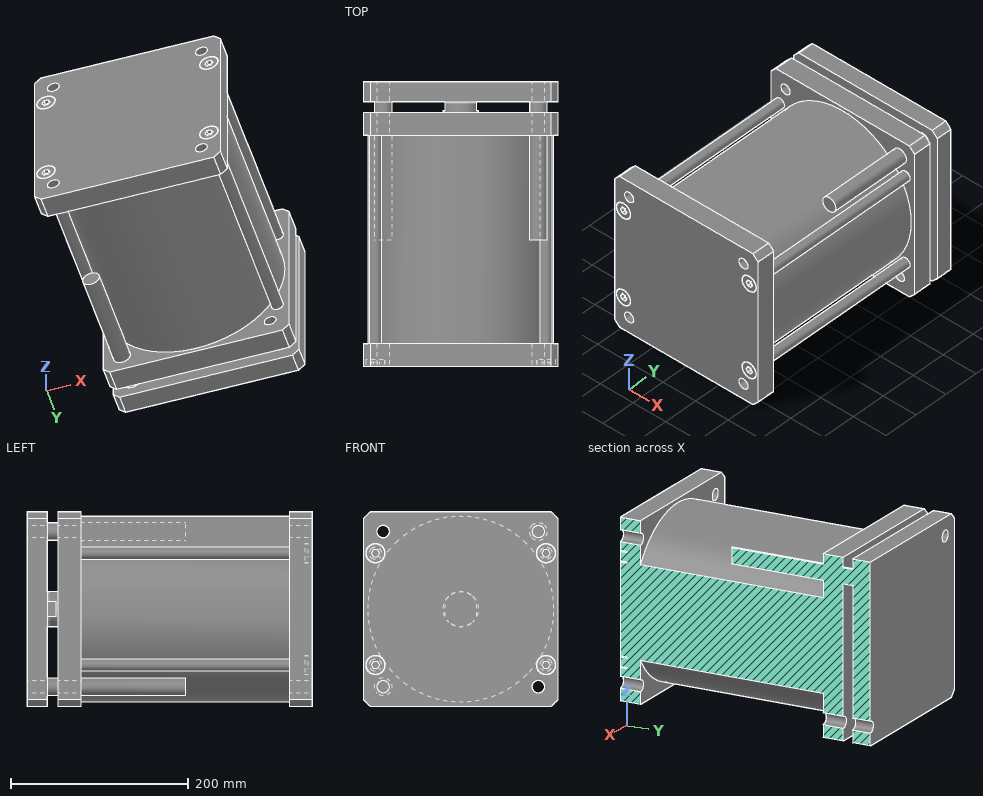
import cadquery as cq
import math

plate_side = 220.0
corner_circle_diameter = 300.0
cap_thickness = 26.0
barrel_length = 235.0
gap_length = 12.0
overall_length = 322.0

barrel_end = cap_thickness + barrel_length
rear_cap_end = barrel_end + cap_thickness
flange_start = rear_cap_end + gap_length
flange_thickness = overall_length - flange_start

barrel_diameter = 210.0

tie_rod_diameter = 14.0
tie_rod_x = 96.3
tie_rod_z = 63.0
screw_recess_diameter = 22.0
screw_head_diameter = 21.0
screw_recess_depth = 8.0
hex_across_flats = 8.0
hex_depth = 5.0

corner_offset = 87.5
corner_hole_diameter = 14.0
guide_rod_diameter = 20.0
guide_rod_overhang = 118.0

piston_rod_diameter = 40.0
piston_rod_chamfer_length = 1.5
piston_rod_chamfer_height = 0.3
flats_width = 36.0
flats_clearance = 2.0

tie_rod_points = [(x, z) for x in (-tie_rod_x, tie_rod_x) for z in (-tie_rod_z, tie_rod_z)]
corner_points = [(x, z) for x in (-corner_offset, corner_offset) for z in (-corner_offset, corner_offset)]
guide_rod_points = [(-corner_offset, -corner_offset), (corner_offset, corner_offset)]
open_corner_points = [point for point in corner_points if point not in guide_rod_points]


def plane_at(y):
    """XZ work plane at the given Y; negative extrusions run toward +Y, sketch axes are X and Z."""
    return cq.Workplane(cq.Plane(origin=(0, y, 0), xDir=(1, 0, 0), normal=(0, -1, 0)))


def bars(points, diameter, start, end):
    """Round bars along Y, one at each (x, z) point."""
    return plane_at(start).pushPoints(points).circle(diameter / 2).extrude(start - end)


def plate(start, thickness, hole_points):
    """Square plate with through holes and its corners trimmed by a large circle."""
    blank = plane_at(start).rect(plate_side, plate_side).extrude(-thickness)
    blank = blank.intersect(bars([(0, 0)], corner_circle_diameter, start, start + thickness))
    return blank.cut(bars(hole_points, corner_hole_diameter, start, start + thickness))


def piston_rod():
    """Rod end in the gap: chamfered at the flange, flats stopping just short of the rear cap."""
    rod = bars([(0, 0)], piston_rod_diameter, rear_cap_end, flange_start)
    rod = rod.faces(">Y").chamfer(piston_rod_chamfer_length, piston_rod_chamfer_height)
    flats_start = rear_cap_end + flats_clearance
    outside_flats = (
        plane_at(flats_start)
        .rect(2 * piston_rod_diameter, 2 * piston_rod_diameter)
        .rect(flats_width, 2 * piston_rod_diameter)
        .extrude(flats_start - flange_start)
    )
    return rod.cut(outside_flats)


def screw_cuts():
    """Clearance ring around each flush screw head, and its hex socket."""
    rings = bars(tie_rod_points, screw_recess_diameter, 0, screw_recess_depth)
    rings = rings.cut(bars(tie_rod_points, screw_head_diameter, 0, screw_recess_depth))
    hex_across_corners = hex_across_flats / math.cos(math.radians(30))
    sockets = plane_at(0).pushPoints(tie_rod_points).polygon(6, hex_across_corners).extrude(-hex_depth)
    return rings, sockets


front_cap = plate(0, cap_thickness, corner_points)
rear_cap = plate(barrel_end, cap_thickness, open_corner_points)
flange = plate(flange_start, flange_thickness, open_corner_points)
barrel = bars([(0, 0)], barrel_diameter, cap_thickness, barrel_end)
tie_rods = bars(tie_rod_points, tie_rod_diameter, cap_thickness, barrel_end)
guide_rods = bars(guide_rod_points, guide_rod_diameter, barrel_end - guide_rod_overhang, flange_start)

result = front_cap
for piece in (barrel, tie_rods, rear_cap, guide_rods, piston_rod(), flange):
    result = result.union(piece)
for cutter in screw_cuts():
    result = result.cut(cutter)